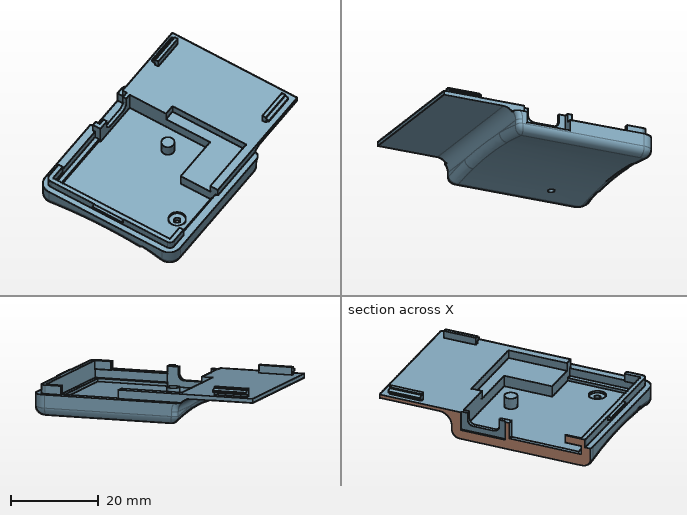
import cadquery as cq
import math

BODY_WIDTH = 37.0
BODY_LENGTH = 35.0
SHOULDER_Z = 5.0
FRONT_CORNER_RADIUS = 3.0
BACK_CORNER_RADIUS = 1.2
BOTTOM_FILLET = 2.0
UNDERSIDE_RADIUS = 95.0

DECK_WIDTH = 34.2
DECK_TOP_Z = 7.0
PART_LENGTH = 53.0
PLATE_THICKNESS = 1.0
PLATE_ROOT_RADIUS = 3.0
BLOCK_FRONT_Y = 20.5

LIP_FRONT_Y = 1.45
LIP_BACK_Y = 6.5
LIP_CORNER_RADIUS = 1.15
LIP_INNER_WIDTH = 32.0

FLOOR_Z = 2.3
LEDGE_Z = 3.0
CAVITY_WIDTH = 33.0
CAVITY_FRONT_Y = 2.55
FLOOR_WIDTH = 30.8
FLOOR_FRONT_Y = 3.5
REAR_CAVITY_LEFT_X = -15.05
REAR_CAVITY_RIGHT_X = 6.95
REAR_CAVITY_BACK_Y = 32.5

POCKET_LEFT_X = -5.1
POCKET_RIGHT_X = 15.05
POCKET_BACK_Y = 35.15

PORT_Y = 27.15
RECESS_LENGTH = 11.0
RECESS_FLOOR_Z = 2.4
RECESS_INNER_X = -15.95
WINDOW_LENGTH = 7.9
WINDOW_SILL_Z = 3.85
WINDOW_RADIUS = 1.5

PIN_X = -1.0
PIN_DIAMETER = 3.0
PIN_TOP_Z = 5.0
SCREW_X = 12.0
SCREW_Y = 11.5
SCREW_DIAMETER = 1.5
COUNTERBORE_DIAMETER = 4.0
COUNTERBORE_DEPTH = 0.5

CLIP_LENGTH = 8.0
CLIP_BACK_Y = 51.0
CLIP_TOP_Z = 8.78
CLIP_INNER_X = 14.25
CLIP_OUTER_X = 15.2
CLIP_TIP_X = 16.0
CLIP_RIDGE_ROOT_Z = (7.45, 8.5)
CLIP_RIDGE_TIP_Z = (7.8, 8.12)

RIDGE_LENGTH = 8.0
RIDGE_TIP_Y = 0.7
RIDGE_ROOT_Z = 5.9
RIDGE_TIP_Z = (6.3, 6.75)
RIDGE_TOP_WIDTH = 0.1


def box(x0, x1, y0, y1, z0, z1):
    """Box between two opposite corners."""
    return cq.Workplane("XY").box(x1 - x0, y1 - y0, z1 - z0, centered=False).translate((x0, y0, z0))


def centred_box(width, y0, y1, z0, z1):
    """Box of the given width, symmetric about X = 0."""
    return box(-width / 2, width / 2, y0, y1, z0, z1)


def side_profile(width, top_z):
    """Body and plate outline in the YZ plane, joined by the root radius, cut off at top_z."""
    plate_bottom_z = DECK_TOP_Z - PLATE_THICKNESS
    center_y = BODY_LENGTH + PLATE_ROOT_RADIUS
    center_z = plate_bottom_z - PLATE_ROOT_RADIUS
    end_angle = math.asin(min(1.0, (top_z - center_z) / PLATE_ROOT_RADIUS))

    def root_point(angle):
        return (center_y - PLATE_ROOT_RADIUS * math.cos(angle),
                center_z + PLATE_ROOT_RADIUS * math.sin(angle))

    outline = (
        cq.Workplane("YZ", origin=(-width / 2, 0, 0))
        .moveTo(0, -BOTTOM_FILLET)
        .lineTo(BODY_LENGTH, -BOTTOM_FILLET)
        .lineTo(BODY_LENGTH, center_z)
        .threePointArc(root_point(end_angle / 2), root_point(end_angle))
    )
    if top_z > plate_bottom_z:
        outline = outline.lineTo(PART_LENGTH, plate_bottom_z).lineTo(PART_LENGTH, top_z)
    return outline.lineTo(0, top_z).close().extrude(width)


def make_body():
    """Solid tray body with an arched underside, rounded corners and rounded lower edges."""
    fillet_center_x = BODY_WIDTH / 2 - BOTTOM_FILLET
    arch_center_z = BOTTOM_FILLET - math.sqrt((UNDERSIDE_RADIUS + BOTTOM_FILLET) ** 2 - fillet_center_x ** 2)
    half = BODY_WIDTH / 2
    arch_crown_z = arch_center_z + UNDERSIDE_RADIUS
    arch_edge_z = arch_center_z + math.sqrt(UNDERSIDE_RADIUS ** 2 - half ** 2)
    arched_block = (
        cq.Workplane("XZ")
        .moveTo(-half, arch_edge_z)
        .threePointArc((0, arch_crown_z), (half, arch_edge_z))
        .lineTo(half, SHOULDER_Z)
        .lineTo(-half, SHOULDER_Z)
        .close()
        .extrude(-PART_LENGTH)
    )
    body = side_profile(BODY_WIDTH, SHOULDER_Z).intersect(arched_block)
    body = body.edges("|Z and <Y").fillet(FRONT_CORNER_RADIUS)
    back_region = cq.selectors.BoxSelector(
        (-BODY_WIDTH, BODY_LENGTH - BACK_CORNER_RADIUS, 0), (BODY_WIDTH, PART_LENGTH, SHOULDER_Z))
    body = body.edges(back_region).edges("|Z").fillet(BACK_CORNER_RADIUS)
    return body.faces("<Z").edges().fillet(BOTTOM_FILLET)


def make_deck():
    """Plate, joining block and front lip, all ending at the deck top."""
    plate = side_profile(DECK_WIDTH, DECK_TOP_Z)
    plate = plate.intersect(centred_box(DECK_WIDTH, BLOCK_FRONT_Y, PART_LENGTH, SHOULDER_Z, DECK_TOP_Z))
    lip = centred_box(DECK_WIDTH, LIP_FRONT_Y, LIP_BACK_Y, SHOULDER_Z, DECK_TOP_Z)
    lip = lip.edges("|Z and <Y").fillet(LIP_CORNER_RADIUS)
    lip = lip.cut(centred_box(LIP_INNER_WIDTH, CAVITY_FRONT_Y, LIP_BACK_Y, SHOULDER_Z, DECK_TOP_Z))
    return plate.union(lip)


def make_cavity():
    """Main cavity: ledged front part, narrower rear part and the shallow deck pocket."""
    ledge_part = centred_box(CAVITY_WIDTH, CAVITY_FRONT_Y, BLOCK_FRONT_Y, LEDGE_Z, SHOULDER_Z)
    floor_part = centred_box(FLOOR_WIDTH, FLOOR_FRONT_Y, BLOCK_FRONT_Y, FLOOR_Z, SHOULDER_Z)
    rear_part = box(REAR_CAVITY_LEFT_X, REAR_CAVITY_RIGHT_X, BLOCK_FRONT_Y, REAR_CAVITY_BACK_Y,
                    FLOOR_Z, DECK_TOP_Z)
    pocket = box(POCKET_LEFT_X, POCKET_RIGHT_X, BLOCK_FRONT_Y, POCKET_BACK_Y, SHOULDER_Z, DECK_TOP_Z)
    return ledge_part.union(floor_part).union(rear_part).union(pocket)


def make_port_cut():
    """Recess in the left side and the round-cornered window through the wall behind it."""
    recess = box(-BODY_WIDTH / 2, RECESS_INNER_X, PORT_Y - RECESS_LENGTH / 2, PORT_Y + RECESS_LENGTH / 2,
                 RECESS_FLOOR_Z, DECK_TOP_Z)
    window = box(RECESS_INNER_X, REAR_CAVITY_LEFT_X, PORT_Y - WINDOW_LENGTH / 2, PORT_Y + WINDOW_LENGTH / 2,
                 WINDOW_SILL_Z, DECK_TOP_Z)
    window = window.edges("|X and <Z").fillet(WINDOW_RADIUS)
    return recess.union(window)


def make_screw_cut():
    """Through hole with a shallow counterbore in the cavity floor."""
    hole = cq.Workplane("XY").center(SCREW_X, SCREW_Y).circle(SCREW_DIAMETER / 2).extrude(FLOOR_Z)
    counterbore = (
        cq.Workplane("XY", origin=(0, 0, FLOOR_Z - COUNTERBORE_DEPTH))
        .center(SCREW_X, SCREW_Y)
        .circle(COUNTERBORE_DIAMETER / 2)
        .extrude(COUNTERBORE_DEPTH)
    )
    return hole.union(counterbore)


def make_pin():
    """Round pin standing on the cavity floor."""
    return (
        cq.Workplane("XY", origin=(PIN_X, PORT_Y, FLOOR_Z))
        .circle(PIN_DIAMETER / 2)
        .extrude(PIN_TOP_Z - FLOOR_Z)
    )


def make_clip():
    """Snap hook at the right edge of the plate: a post with an outward ridge."""
    root_low, root_high = CLIP_RIDGE_ROOT_Z
    tip_low, tip_high = CLIP_RIDGE_TIP_Z
    outline = [
        (CLIP_INNER_X, DECK_TOP_Z),
        (CLIP_OUTER_X, DECK_TOP_Z),
        (CLIP_OUTER_X, root_low),
        (CLIP_TIP_X, tip_low),
        (CLIP_TIP_X, tip_high),
        (CLIP_OUTER_X, root_high),
        (CLIP_OUTER_X, CLIP_TOP_Z),
        (CLIP_INNER_X, CLIP_TOP_Z),
    ]
    return cq.Workplane("XZ", origin=(0, CLIP_BACK_Y, 0)).polyline(outline).close().extrude(CLIP_LENGTH)


def make_lip_ridge():
    """Snap ridge along the middle of the front lip."""
    tip_low, tip_high = RIDGE_TIP_Z
    outline = [
        (LIP_FRONT_Y, RIDGE_ROOT_Z),
        (RIDGE_TIP_Y, tip_low),
        (RIDGE_TIP_Y, tip_high),
        (LIP_FRONT_Y - RIDGE_TOP_WIDTH, DECK_TOP_Z),
        (LIP_FRONT_Y, DECK_TOP_Z),
    ]
    return cq.Workplane("YZ", origin=(-RIDGE_LENGTH / 2, 0, 0)).polyline(outline).close().extrude(RIDGE_LENGTH)


right_clip = make_clip()
result = (
    make_body()
    .union(make_deck())
    .cut(make_cavity())
    .cut(make_port_cut())
    .cut(make_screw_cut())
    .union(make_pin())
    .union(right_clip)
    .union(right_clip.mirror("YZ"))
    .union(make_lip_ridge())
)